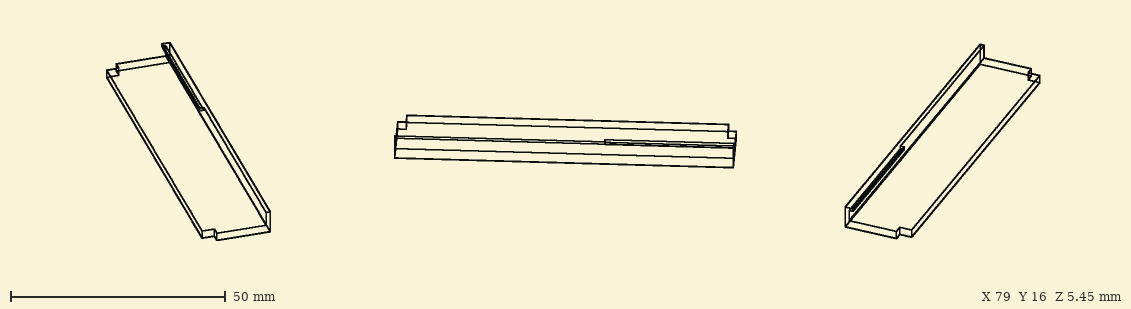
import cadquery as cq

length = 79.0
depth = 16.0
height = 5.45

plate_thickness = 2.0
notch_length = 2.0
notch_depth = 3.0

wall_thickness = 1.0
lip_length = 30.0
lip_reach = 2.0
lip_thickness = 0.7


def corner_box(size_x, size_y, size_z, x=0, y=0, z=0):
    """Box whose lowest left front corner is at (x, y, z)."""
    return cq.Workplane("XY").box(size_x, size_y, size_z, centered=False).translate((x, y, z))


plate = corner_box(length, depth, plate_thickness)
for notch_x in (0, length - notch_length):
    plate = plate.cut(corner_box(notch_length, notch_depth, plate_thickness, x=notch_x))

wall = corner_box(length, wall_thickness, height, y=depth - wall_thickness)

lip = corner_box(lip_length, lip_reach, lip_thickness, y=depth - lip_reach, z=height - lip_thickness)

result = plate.union(wall).union(lip)